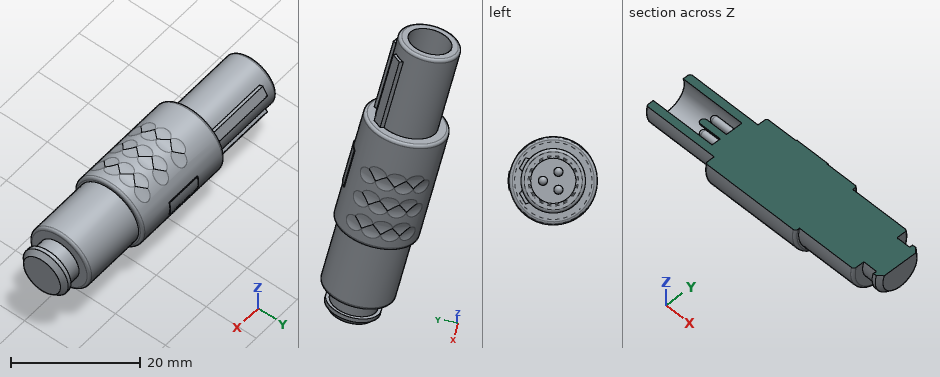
import cadquery as cq
import math


key_start = 2.5
collar_start = 15.0
collar_end = 35.0
barrel_end = 47.0
ring_start = 49.7
total_length = 51.3

tube_radius = 5.0
bore_radius = 3.5
collar_radius = 6.85
barrel_radius = 6.0
neck_radius = 3.9
ring_radius = 4.5

tube_fillet = 0.5
collar_fillet = 0.5
barrel_fillet = 0.5
ring_chamfer_length = 0.9
ring_chamfer_height = 0.8

bore_depth = 13.0
pin_count = 3
pin_radius = 0.7
pin_circle_radius = 1.6
pin_length = 5.0

key_angle = 30.0
key_top_width = 1.9
key_top_radius = 5.5
key_side_draft = 15.0

dimple_pitch_angle = 26.3
dimple_width = 2.45
dimple_depth = collar_radius * (1 - math.cos(math.radians(dimple_pitch_angle / 2)))
dimple_radius = (dimple_width**2 / 4 + dimple_depth**2) / (2 * dimple_depth)
dimple_band_start = 21.95
dimple_band_count = 3
dimple_band_pitch = 4.5
dimple_row_offset = 1.07
front_row_steps = (-1, 0, 1)
rear_row_steps = (-1.5, -0.5, 0.5, 1.5)
grip_sides = (0, 180)

pad_start = 21.5
pad_length = 6.9
pad_width = 2.9
pad_height = 0.15


def rod(radius, start, end):
    """Cylinder along X between two stations."""
    return cq.Workplane("YZ", origin=(start, 0, 0)).circle(radius).extrude(end - start)


def make_body():
    tube = rod(tube_radius, 0, collar_start).faces("<X").edges().fillet(tube_fillet)
    collar = rod(collar_radius, collar_start, collar_end).edges("%CIRCLE").fillet(collar_fillet)
    barrel = rod(barrel_radius, collar_end, barrel_end).faces(">X").edges().fillet(barrel_fillet)
    neck = rod(neck_radius, barrel_end, ring_start)
    return tube.union(collar).union(barrel).union(neck).union(make_ring())


def make_ring():
    """End ring with a bevelled outer edge."""
    outline = [
        (ring_start, 0),
        (ring_start, ring_radius),
        (total_length - ring_chamfer_length, ring_radius),
        (total_length, ring_radius - ring_chamfer_height),
        (total_length, 0),
    ]
    return cq.Workplane("XY").polyline(outline).close().revolve(360, (0, 0, 0), (1, 0, 0))


def make_key(angle):
    """Flat-topped key, wider at its root inside the tube wall, turned about X from +Y."""
    root_radius = (bore_radius + tube_radius) / 2
    top_half = key_top_width / 2
    root_half = top_half + (key_top_radius - root_radius) * math.tan(math.radians(key_side_draft))
    section = [
        (root_radius, -root_half),
        (key_top_radius, -top_half),
        (key_top_radius, top_half),
        (root_radius, root_half),
    ]
    key = cq.Workplane("YZ", origin=(key_start, 0, 0)).polyline(section).close()
    key = key.extrude(collar_start - key_start)
    return key.rotate((0, 0, 0), (1, 0, 0), angle)


def make_pins():
    """Round-nosed pins, evenly spaced, the first one toward +Y."""
    nose_center = bore_depth - pin_length + pin_radius
    nose = cq.Workplane("XY").sphere(pin_radius).translate((nose_center, 0, 0))
    pin = rod(pin_radius, nose_center, bore_depth).union(nose)
    pin = pin.translate((0, pin_circle_radius, 0))
    pins = cq.Workplane("XY")
    for index in range(pin_count):
        pins = pins.add(pin.rotate((0, 0, 0), (1, 0, 0), index * 360 / pin_count))
    return pins.combine()


def make_dimple_cutter(x_center, angle):
    """Cylinder lying tangentially above the collar, turned about X from +Z."""
    axis_height = collar_radius - dimple_depth + dimple_radius
    cutter = (
        cq.Workplane("XZ", origin=(x_center, 0, axis_height))
        .circle(dimple_radius)
        .extrude(collar_radius / 2, both=True)
    )
    return cutter.rotate((0, 0, 0), (1, 0, 0), angle)


def cut_grip(body):
    for band in range(dimple_band_count):
        front_x = dimple_band_start + band * dimple_band_pitch
        rows = ((front_x, front_row_steps), (front_x + dimple_row_offset, rear_row_steps))
        for row_x, steps in rows:
            for step in steps:
                for side in grip_sides:
                    body = body.cut(make_dimple_cutter(row_x, side + step * dimple_pitch_angle))
    return body


def make_pad():
    """Shallow pad following the collar curve, rooted inside the collar."""
    outer = rod(collar_radius + pad_height, pad_start, pad_start + pad_length)
    window = cq.Workplane("XY").box(
        pad_length,
        pad_height + collar_radius - tube_radius,
        pad_width,
        centered=(False, False, True),
    )
    return outer.intersect(window.translate((pad_start, tube_radius, 0)))


result = cut_grip(make_body())
result = result.union(make_key(key_angle)).union(make_key(-key_angle))
result = result.cut(rod(bore_radius, 0, bore_depth))
result = result.union(make_pins())
result = result.union(make_pad())